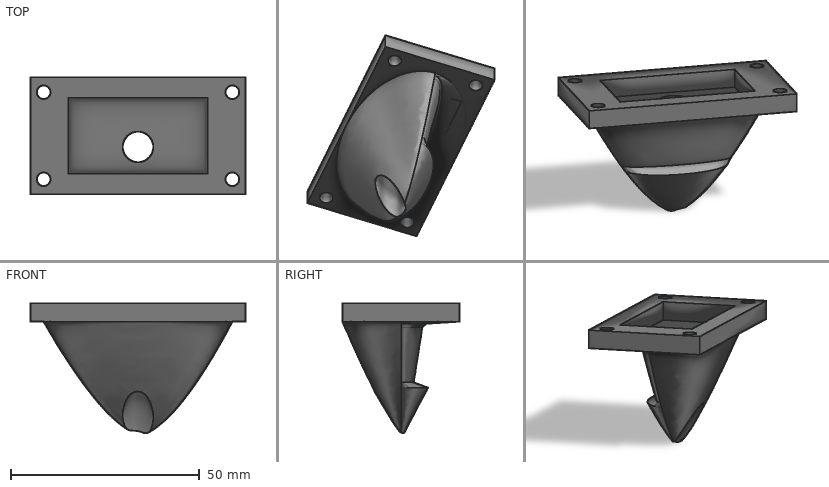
import cadquery as cq

plate_length = 57.0
plate_width = 31.0
plate_thickness = 4.9
screw_hole_diameter = 3.55
screw_spacing_x = 49.95
screw_spacing_y = 23.0

pocket_length = 36.95
pocket_width = 20.0

bore_diameter = 8.05
bore_center_y = -2.95

nose_half_length = screw_spacing_x / 2
nose_front_depth = plate_width / 2
apex_depth = 30.1
nose_depth = 29.75
tip_drift = 0.7
length_taper = 0.66
front_taper = 0.84
front_levels = 7

lip_edge = (0.0, plate_width / 2)
lip_root = (0.55, 6.6)
neck_top = (1.5, 5.7)
neck_bottom = (16.0, 3.4)
barb_point = (17.45, 7.2)
nose_tip = (nose_depth, 0.7)
back_profile = [lip_edge, lip_root, neck_top, neck_bottom, barb_point, nose_tip]
back_steps = 3


def half_length(depth):
    return nose_half_length * (1 - depth / apex_depth) ** length_taper


def front_reach(depth):
    return nose_front_depth * (1 - depth / apex_depth) ** front_taper


def half_ellipse(depth, reach):
    """Closed half-ellipse wire at a level; the sign of reach selects the side in Y."""
    start_angle, end_angle = (0, 180) if reach > 0 else (180, 360)
    arc = cq.Edge.makeEllipse(
        half_length(depth),
        abs(reach),
        pnt=cq.Vector(tip_drift * depth / nose_depth, 0, -depth),
        angle1=start_angle,
        angle2=end_angle,
    )
    chord = cq.Edge.makeLine(arc.endPoint(), arc.startPoint())
    return cq.Wire.assembleEdges([arc, chord])


def make_front():
    sections = []
    for i in range(front_levels):
        depth = nose_depth * i / (front_levels - 1)
        sections.append(half_ellipse(depth, -front_reach(depth)))
    return cq.Workplane(cq.Solid.makeLoft(sections))


def make_back_stretch(upper, lower):
    upper_depth, upper_reach = upper
    lower_depth, lower_reach = lower
    sections = []
    for step in range(back_steps + 1):
        fraction = step / back_steps
        depth = upper_depth + fraction * (lower_depth - upper_depth)
        reach = upper_reach + fraction * (lower_reach - upper_reach)
        sections.append(half_ellipse(depth, reach))
    return cq.Workplane(cq.Solid.makeLoft(sections))


def make_plate():
    plate = cq.Workplane("XY").box(
        plate_length, plate_width, plate_thickness, centered=(True, True, False)
    )
    plate = plate.cut(
        cq.Workplane("XY").box(
            pocket_length, pocket_width, plate_thickness, centered=(True, True, False)
        )
    )
    return (
        plate.faces(">Z").workplane(origin=(0, 0, plate_thickness))
        .rect(screw_spacing_x, screw_spacing_y, forConstruction=True)
        .vertices().hole(screw_hole_diameter)
    )


nose = make_front()
for upper, lower in zip(back_profile, back_profile[1:]):
    nose = nose.union(make_back_stretch(upper, lower))

bore = (
    cq.Workplane("XY", origin=(0, bore_center_y, -nose_depth))
    .circle(bore_diameter / 2).extrude(nose_depth)
)

result = make_plate().union(nose.cut(bore))